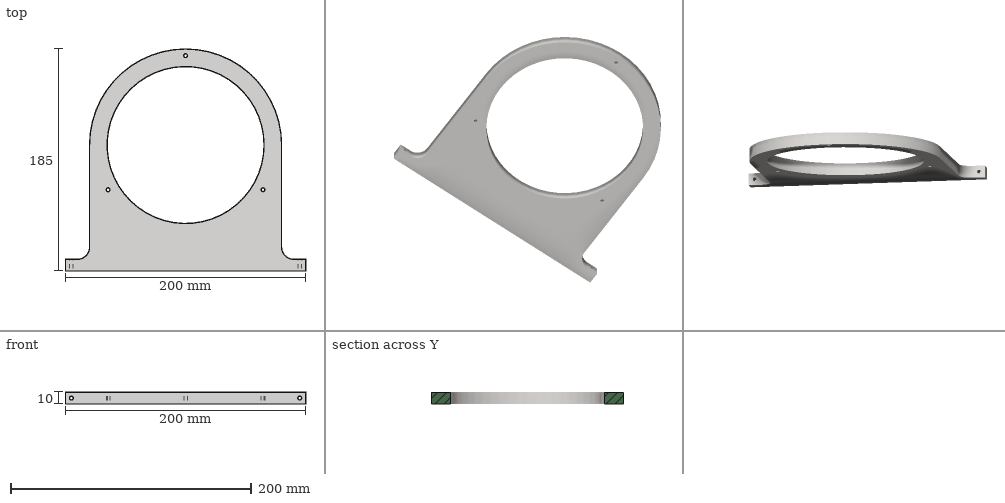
import cadquery as cq

thickness = 10.0
foot_length = 200.0
foot_height = 10.0
foot_fillet = 10.0

ring_radius = 80.0
ring_center_y = 105.0
bore_diameter = 130.5

screw_diameter = 3.0
screw_circle_radius = 74.5
screw_count = 3
foot_hole_inset = 5.0


def make_plate():
    """Round-headed upright on a wider foot, with concave fillets between them."""
    half_foot = foot_length / 2
    fillet_top = foot_height + foot_fillet
    fillet_end = ring_radius + foot_fillet
    return (
        cq.Workplane("XY")
        .moveTo(-half_foot, 0)
        .lineTo(half_foot, 0)
        .lineTo(half_foot, foot_height)
        .lineTo(fillet_end, foot_height)
        .radiusArc((ring_radius, fillet_top), foot_fillet)
        .lineTo(ring_radius, ring_center_y)
        .threePointArc((0, ring_center_y + ring_radius), (-ring_radius, ring_center_y))
        .lineTo(-ring_radius, fillet_top)
        .radiusArc((-fillet_end, foot_height), foot_fillet)
        .lineTo(-half_foot, foot_height)
        .close()
        .extrude(thickness)
    )


def make_ring_cuts():
    """Bore and the circle of screw holes around it, through the thickness."""
    ring_center = cq.Workplane("XY").center(0, ring_center_y)
    bore = ring_center.circle(bore_diameter / 2).extrude(thickness)
    screws = (
        ring_center.polarArray(screw_circle_radius, 90, 360, screw_count)
        .circle(screw_diameter / 2)
        .extrude(thickness)
    )
    return bore.union(screws)


def make_foot_holes():
    """One hole near each end of the foot, running through it along Y."""
    hole_x = foot_length / 2 - foot_hole_inset
    return (
        cq.Workplane("XZ")
        .pushPoints([(-hole_x, thickness / 2), (hole_x, thickness / 2)])
        .circle(screw_diameter / 2)
        .extrude(-foot_height)
    )


result = make_plate().cut(make_ring_cuts()).cut(make_foot_holes())